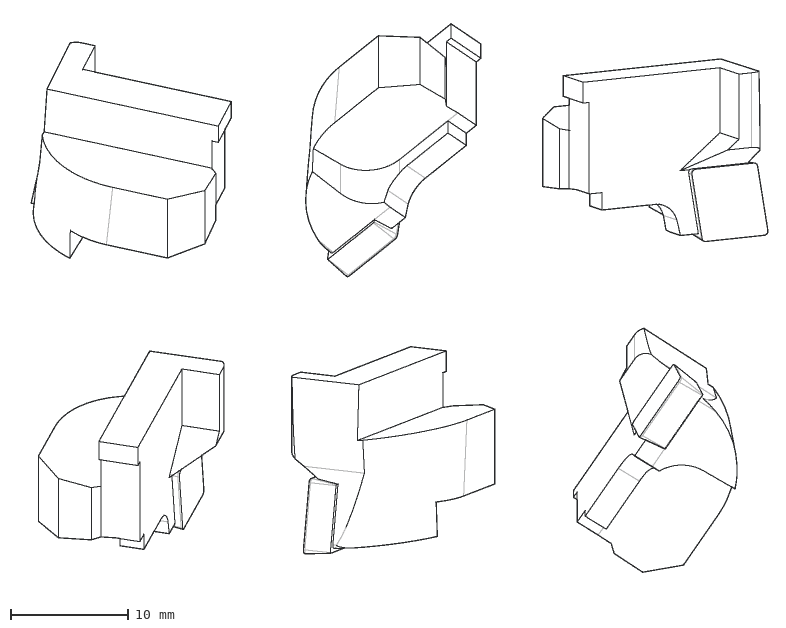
import cadquery as cq
import math

LENGTH = 17.69
DEPTH = 12.9
HEIGHT = 14.8

RAIL_FRONT = 6.1
RAIL_BACK = 9.57
POST_RIGHT = 4.32
POST_SLOPE_Z = 9.16
POST_SLOPE = 0.75
POST_UNDERSIDE_Z = 8.33
POST_UNDERSIDE_SLOPE = 0.63
POST_CORNER_RADIUS = 2.8 / 2
POST_CORNER_X = 3.08
RAIL_END_RELIEF = 0.58
RAIL_END_LIP_Z = 13.0

SHELF_FRONT_Z = 10.85
SHELF_BACK_Z = 10.0
FRONT_BOTTOM_Z = 1.47
SEAT_BOTTOM_Z = 0.6
FRONT_CHAMFER = 2.51
BACK_CHAMFER = 0.67
BACK_CHAMFER_X = 0.58

NOSE_RADIUS = 8.75
NOSE_AXIS_X = 9.3
NOSE_LEAN = math.tan(math.radians(5))

CREASE_Z = 7.25
CREASE_X = 1.96
FLANK_SKEW = 0.0165
UPPER_FLANK_LEAN = 0.054
LOWER_FLANK_ANGLE = 10.0
TOE_RADIUS = 0.3

RELIEF_LEFT = 6.2
RELIEF_RADIUS = 3.57
RELIEF_BACK = 7.43
RELIEF_Z = 4.32
RELIEF_SLOPE = 0.1
GULLET_LEFT = 8.17
GULLET_WALL_X = 8.53
GULLET_WALL_Z = 2.0
GULLET_MID_X = 9.27
GULLET_MID_Z = 3.06
GULLET_END_X = 10.68
GULLET_Z = 3.54
KEEL_RIGHT = 15.85

SEAT_Y = 7.78
INSERT_BACK = 10.26
INSERT_LAND = 0.15
INSERT_HEIGHT = 6.37
INSERT_WIDTH = 6.45
INSERT_LEFT = -0.07
INSERT_RELIEF_ANGLE = 7.0
INSERT_CORNER_RADIUS = 0.35

MARGIN = 3.54


def prism_x(points, start, end):
    """Prism along X from a (Y, Z) outline."""
    return cq.Workplane("YZ", origin=(start, 0, 0)).polyline(points).close().extrude(end - start)


def slab_y(outline, start, end):
    """Prism along Y from a closed XZ outline function applied to a workplane."""
    return outline(cq.Workplane("XZ", origin=(0, start, 0))).extrude(start - end)


def box(x0, x1, y0, y1, z0, z1):
    return cq.Workplane("XY").box(x1 - x0, y1 - y0, z1 - z0, centered=False).translate((x0, y0, z0))


def make_insert():
    """Rhombic plate with a straight land behind its rake face, then relieved toward the seat."""
    shift = INSERT_HEIGHT * math.tan(math.radians(LOWER_FLANK_ANGLE))
    land_front = INSERT_BACK - INSERT_LAND
    rhombus = (
        cq.Sketch()
        .polygon([
            (INSERT_LEFT, 0),
            (INSERT_LEFT + INSERT_WIDTH, 0),
            (INSERT_LEFT + INSERT_WIDTH + shift, INSERT_HEIGHT),
            (INSERT_LEFT + shift, INSERT_HEIGHT),
            (INSERT_LEFT, 0),
        ])
        .vertices().fillet(INSERT_CORNER_RADIUS)
    )
    land = cq.Workplane("XZ", origin=(0, INSERT_BACK, 0)).placeSketch(rhombus).extrude(INSERT_LAND)
    relieved = (
        cq.Workplane("XZ", origin=(0, land_front, 0))
        .placeSketch(rhombus)
        .extrude(land_front - SEAT_Y, taper=INSERT_RELIEF_ANGLE)
    )
    return land.union(relieved)


def make_section():
    """Full-length bar with the stepped YZ section of the holder."""
    underside_z = POST_UNDERSIDE_Z - POST_UNDERSIDE_SLOPE * (DEPTH - RAIL_BACK)
    return prism_x(
        [
            (0, SHELF_FRONT_Z),
            (RAIL_FRONT, SHELF_BACK_Z),
            (RAIL_FRONT, HEIGHT),
            (DEPTH, HEIGHT),
            (DEPTH, POST_UNDERSIDE_Z),
            (RAIL_BACK, underside_z),
            (RAIL_BACK, SEAT_BOTTOM_Z),
            (SEAT_Y, SEAT_BOTTOM_Z),
            (0, FRONT_BOTTOM_Z),
        ],
        0, LENGTH,
    )


def make_nose_envelope():
    """Oblique cylinder over the front left, widened to leave the rest of the part untouched."""
    def outline(plane, z):
        axis_x = NOSE_AXIS_X + NOSE_LEAN * z
        diagonal = NOSE_RADIUS * math.sqrt(0.5)
        return (
            plane.moveTo(axis_x, 0)
            .threePointArc(
                (axis_x - diagonal, NOSE_RADIUS - diagonal),
                (axis_x - NOSE_RADIUS, NOSE_RADIUS),
            )
            .lineTo(axis_x - NOSE_RADIUS, DEPTH)
            .lineTo(axis_x + LENGTH, DEPTH)
            .lineTo(axis_x + LENGTH, 0)
            .close()
        )
    lower = outline(cq.Workplane("XY"), 0)
    return outline(lower.workplane(offset=HEIGHT), HEIGHT).loft(ruled=True, combine=True)


def make_flank_envelope():
    """Everything to the right of the two flank planes."""
    upper_x = CREASE_X + UPPER_FLANK_LEAN * (HEIGHT - CREASE_Z)
    lower_x = CREASE_X - CREASE_Z * math.tan(math.radians(LOWER_FLANK_ANGLE))
    right = LENGTH + MARGIN

    def outline(plane, y):
        skew = FLANK_SKEW * y
        return plane.polyline([
            (lower_x - skew, 0),
            (CREASE_X - skew, CREASE_Z),
            (upper_x - skew, HEIGHT),
            (right, HEIGHT),
            (right, 0),
        ]).close()

    front = outline(cq.Workplane("XZ"), 0)
    return outline(front.workplane(offset=-DEPTH), DEPTH).loft(ruled=True, combine=True)


def make_post_cut():
    """Space right of the post, above the sloping buttress."""
    run = LENGTH - POST_RIGHT
    return slab_y(
        lambda plane: plane.polyline([
            (POST_RIGHT, HEIGHT),
            (POST_RIGHT, POST_SLOPE_Z),
            (LENGTH, POST_SLOPE_Z - POST_SLOPE * run),
            (LENGTH, HEIGHT),
        ]).close(),
        RAIL_BACK, DEPTH,
    )


def make_post_corner_cut():
    """Waste outside the rounded back left corner of the post."""
    centre_y = DEPTH - POST_CORNER_RADIUS
    corner = box(0, POST_CORNER_X, centre_y, DEPTH, 0, HEIGHT)
    post = cq.Workplane("XY").center(POST_CORNER_X, centre_y).circle(POST_CORNER_RADIUS).extrude(HEIGHT)
    return corner.cut(post)


def make_right_corner_cuts():
    """Vertical chamfers at the right end of the front block."""
    front = (
        cq.Workplane("XY")
        .polyline([(LENGTH - FRONT_CHAMFER, 0), (LENGTH, 0), (LENGTH, FRONT_CHAMFER)])
        .close().extrude(HEIGHT)
    )
    back = (
        cq.Workplane("XY")
        .polyline([
            (LENGTH, RAIL_FRONT - BACK_CHAMFER),
            (LENGTH, RAIL_FRONT),
            (LENGTH - BACK_CHAMFER_X, RAIL_FRONT),
        ])
        .close().extrude(RAIL_END_LIP_Z)
    )
    return front.union(back)


def make_relief_cut():
    """Relief under the front block, with a concave wall behind the nose and a sloping roof."""
    centre_x = RELIEF_LEFT + RELIEF_RADIUS
    centre_y = RELIEF_BACK - RELIEF_RADIUS
    diagonal = RELIEF_RADIUS * math.sqrt(0.5)
    plan = (
        cq.Workplane("XY")
        .moveTo(RELIEF_LEFT, -MARGIN)
        .lineTo(RELIEF_LEFT, centre_y)
        .threePointArc((centre_x - diagonal, centre_y + diagonal), (centre_x, RELIEF_BACK))
        .lineTo(LENGTH + MARGIN, RELIEF_BACK)
        .lineTo(LENGTH + MARGIN, -MARGIN)
        .close().extrude(HEIGHT)
    )
    roof = prism_x(
        [
            (-MARGIN, 0),
            (-MARGIN, RELIEF_Z - RELIEF_SLOPE * MARGIN),
            (DEPTH, RELIEF_Z + RELIEF_SLOPE * DEPTH),
            (DEPTH, 0),
        ],
        0, LENGTH + MARGIN,
    )
    return plan.intersect(roof)


def make_gullet_cut():
    """Chip gullet to the right of the seat, running through the full depth."""
    right = LENGTH + MARGIN
    wall_lean = (GULLET_WALL_X - GULLET_LEFT) / (GULLET_WALL_Z - SEAT_BOTTOM_Z)
    return slab_y(
        lambda plane: plane.moveTo(GULLET_LEFT - wall_lean * SEAT_BOTTOM_Z, 0)
        .lineTo(GULLET_WALL_X, GULLET_WALL_Z)
        .threePointArc((GULLET_MID_X, GULLET_MID_Z), (GULLET_END_X, GULLET_Z))
        .lineTo(right, GULLET_Z)
        .lineTo(right, 0)
        .close(),
        -MARGIN, DEPTH,
    )


def make_holder(insert):
    toe = cq.selectors.BoxSelector((0, 0, 0), (RELIEF_LEFT / 2, SEAT_Y - 0.18, FRONT_BOTTOM_Z))
    holder = make_section().intersect(make_flank_envelope())
    holder = holder.edges(toe).fillet(TOE_RADIUS).intersect(make_nose_envelope())
    holder = holder.cut(make_post_cut()).cut(make_post_corner_cut()).cut(make_right_corner_cuts())
    holder = holder.cut(make_relief_cut()).cut(make_gullet_cut())
    rail_relief = box(LENGTH - RAIL_END_RELIEF, LENGTH, RAIL_FRONT, DEPTH, 0, RAIL_END_LIP_Z)
    keel_end = box(KEEL_RIGHT, LENGTH, RELIEF_BACK, DEPTH, 0, RELIEF_Z + RELIEF_SLOPE * RELIEF_BACK)
    return holder.cut(rail_relief).cut(keel_end).cut(insert)


insert = make_insert()
holder = make_holder(insert)
result = cq.Compound.makeCompound([*holder.solids().vals(), *insert.solids().vals()])